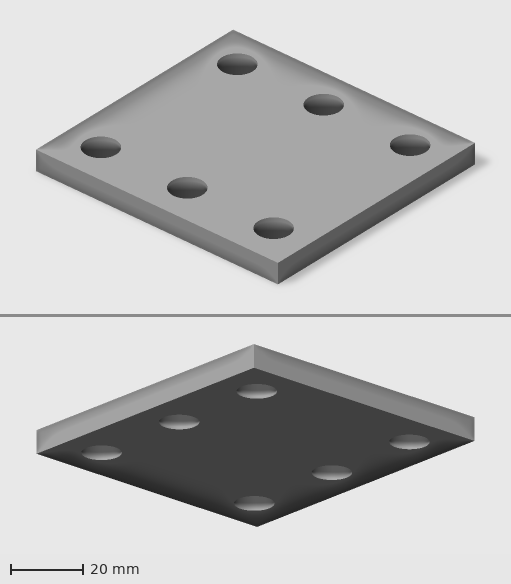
import cadquery as cq

length = 88.9
width = 82.6
thickness = 7.0

hole_diameter = 11.2
column_count = 3
row_count = 2
column_pitch = 31.7
row_pitch = 57.2

plate = cq.Workplane("XY").box(length, width, thickness)

result = (
    plate.faces(">Z")
    .workplane()
    .rarray(column_pitch, row_pitch, column_count, row_count)
    .hole(hole_diameter)
)